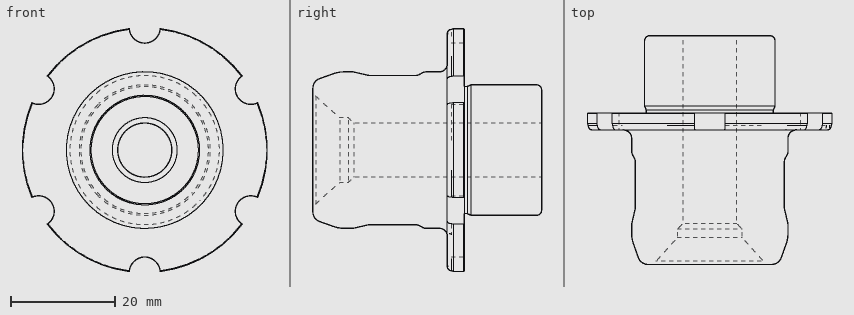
import cadquery as cq
import math

total_length = 43.8

nose_face_radius = 11.8
nose_round = 2.0
nose_taper_angle = math.radians(20)
bulge_round = 5.75
bulge_radius = 15.0
bulge_front = 5.95
bulge_back = 7.75

waist_radius = 14.3
waist_front = 10.78
waist_back = 19.7
shoulder_radius = bulge_radius
shoulder_front = 21.7
shoulder_round = 1.4
shoulder_angle = math.radians(30)

flange_radius = 23.42
flange_front = 25.7
flange_back = 29.0
flange_round = 0.85
flange_rim_front = 26.95
flange_rim_taper = 0.15
flange_back_chamfer = 0.15
neck_fillet = 1.5

notch_count = 6
notch_radius = 2.95

spigot_radius = 25.0 / 2
spigot_edge_round = 1.05
undercut_radius = 12.2
undercut_front = 29.55
undercut_back = 30.3

mouth_radius = 10.5
mouth_break_width = 0.25
mouth_break_depth = 0.65
funnel_end_radius = 6.4
funnel_end = 4.9
counterbore_radius = 12.4 / 2
counterbore_front = 5.2
counterbore_end = 6.8
bore_radius = 10.3 / 2
bore_front = counterbore_end + (counterbore_radius - bore_radius)


def revolve_about_axis(profile):
    return profile.close().revolve(360, (0, 0, 0), (0, 1, 0))


def make_body():
    taper_sin = math.sin(nose_taper_angle)
    taper_cos = math.cos(nose_taper_angle)
    lip_end = (nose_face_radius + nose_round * taper_cos, nose_round * (1 - taper_sin))
    bulge_start = (bulge_radius - bulge_round * (1 - taper_cos), bulge_front - bulge_round * taper_sin)

    round_rise = shoulder_round * (1 - math.cos(shoulder_angle))
    round_length = shoulder_round * math.sin(shoulder_angle)
    slope_front = (waist_radius + round_rise, waist_back + round_length)
    slope_back = (shoulder_radius - round_rise, shoulder_front - round_length)

    flange_face = (flange_radius - flange_rim_taper - flange_round, flange_front)
    flange_round_end = (flange_radius - flange_rim_taper, flange_front + flange_round)

    profile = (
        cq.Workplane("XY")
        .lineTo(nose_face_radius, 0)
        .radiusArc(lip_end, -nose_round)
        .lineTo(*bulge_start)
        .radiusArc((bulge_radius, bulge_front), -bulge_round)
        .lineTo(bulge_radius, bulge_back)
        .lineTo(waist_radius, waist_front)
        .lineTo(waist_radius, waist_back)
        .radiusArc(slope_front, shoulder_round)
        .lineTo(*slope_back)
        .radiusArc((shoulder_radius, shoulder_front), -shoulder_round)
        .lineTo(shoulder_radius, flange_front - neck_fillet)
        .radiusArc((shoulder_radius + neck_fillet, flange_front), neck_fillet)
        .lineTo(*flange_face)
        .radiusArc(flange_round_end, -flange_round)
        .lineTo(flange_radius, flange_rim_front)
        .lineTo(flange_radius, flange_back - flange_back_chamfer)
        .lineTo(flange_radius - flange_back_chamfer, flange_back)
        .lineTo(undercut_radius, flange_back)
        .lineTo(undercut_radius, undercut_front)
        .lineTo(spigot_radius, undercut_back)
        .lineTo(spigot_radius, total_length - spigot_edge_round)
        .radiusArc((spigot_radius - spigot_edge_round, total_length), -spigot_edge_round)
        .lineTo(0, total_length)
    )
    return revolve_about_axis(profile)


def make_bore():
    profile = (
        cq.Workplane("XY")
        .lineTo(mouth_radius, 0)
        .lineTo(mouth_radius - mouth_break_width, mouth_break_depth)
        .lineTo(funnel_end_radius, funnel_end)
        .lineTo(counterbore_radius, counterbore_front)
        .lineTo(counterbore_radius, counterbore_end)
        .lineTo(bore_radius, bore_front)
        .lineTo(bore_radius, total_length)
        .lineTo(0, total_length)
    )
    return revolve_about_axis(profile)


def make_notches():
    return (
        cq.Workplane("XZ", origin=(0, flange_back, 0))
        .polarArray(flange_radius, 90, 360, notch_count)
        .circle(notch_radius)
        .extrude(flange_back - flange_front)
    )


result = make_body().cut(make_bore()).cut(make_notches())
result = result.translate((0, -total_length / 2, 0))